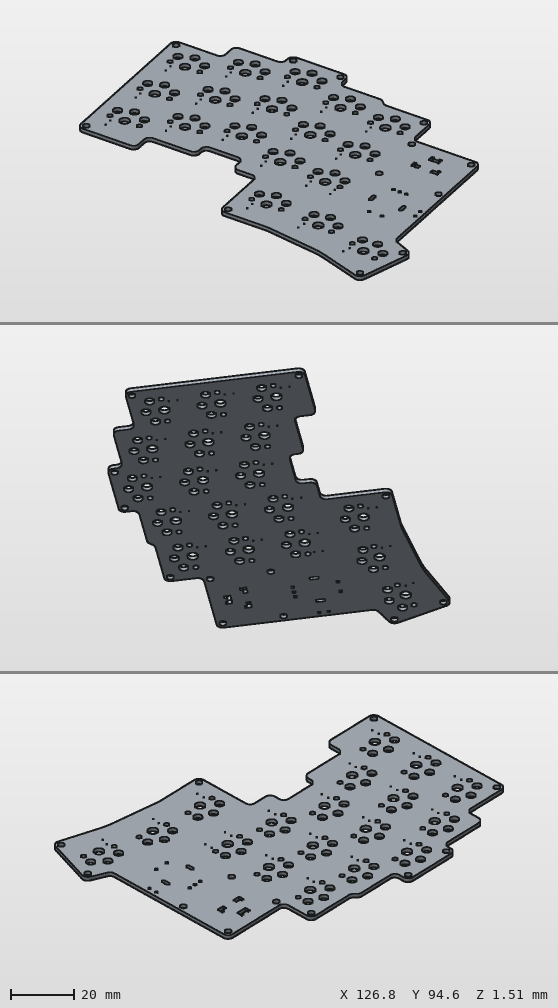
import cadquery as cq
import math

plate_length = 126.82
plate_width = 94.61
plate_thickness = 1.51

edge_margin = 10.8
corner_radius = 2.0
mount_inset = edge_margin - corner_radius

key_pitch = 18.0
row_count = 3
column_drops = [12.25, 5.05, 0.0, 5.95, 8.0]
first_column_x = -plate_length / 2 + edge_margin
highest_key_y = plate_width / 2 - edge_margin
column_x = [first_column_x + i * key_pitch for i in range(len(column_drops))]
column_top_y = [highest_key_y - drop for drop in column_drops]
column_bottom_y = [y - (row_count - 1) * key_pitch for y in column_top_y]

inner_thumb = (10.4, -28.1)
middle_thumb = (30.55, -29.5)
middle_thumb_turn = 8.7
outer_thumb_turn = 18.0
turn_cos = math.cos(math.radians(outer_thumb_turn))
turn_sin = math.sin(math.radians(outer_thumb_turn))
outer_corner_reach = mount_inset * (turn_cos + turn_sin) + corner_radius
outer_thumb = (plate_length / 2 - outer_corner_reach, -plate_width / 2 + outer_corner_reach)

key_post_diameter = 3.43
key_side_diameter = 1.7
key_side_offset = 5.5
key_pin_diameter = 3.0
key_pins = [(0, 5.9), (-5.0, 3.8), (5.0, 3.8)]
via_diameter = 0.3
via_x = -4.0
extra_via_x = 5.0
via_y = [-2.2, -4.95]

panel_top_y = 27.2
panel_right_x = 55.6
mount_diameter = 2.2
panel_mount_x = [31.35, 53.45]
panel_mount_y = [25.1, 5.6]

encoder_center = (42.45, -7.3)
encoder_pin_diameter = 1.0
encoder_pin_pitch = 2.4
encoder_upper_pin_y = 7.5
encoder_lower_pin_y = -7.05
encoder_slot_offset = 5.58
encoder_slot_length = 3.0
encoder_slot_width = 1.2

header_pin_diameter = 0.9
header_pins = [(53.8, -5.85), (53.8, -8.85)]

cutout_bar_height = 1.3
cutout_tab_width = 0.9
cutout_tab_height = 0.75
wide_bar_length = 3.75
wide_bar_y = 21.0
short_bar_length = 2.6
short_bar_y = 15.35
short_bar_offset = 3.6

thumb_top_y = -16.4
thumb_shoulder_slope = 24.0
middle_edge_slope = 7.8
thumb_bottom_y = inner_thumb[1] - edge_margin
first_bend_x = 17.5
second_bend_radius = 26.0


def outer_thumb_point(across, along):
    """Point given in the turned axes of the outer thumb key."""
    x = outer_thumb[0] + across * turn_cos + along * turn_sin
    y = outer_thumb[1] - across * turn_sin + along * turn_cos
    return (x, y)


def left_of(column):
    return column_x[column] - edge_margin


def right_of(column):
    return column_x[column] + edge_margin


def above(column):
    return column_top_y[column] + edge_margin


def below(column):
    return column_bottom_y[column] - edge_margin


def second_bend():
    """Where the edge below the middle thumb key meets the edge below the outer one."""
    middle_fall = math.tan(math.radians(middle_edge_slope))
    outer_fall = turn_sin / turn_cos
    lower_corner = outer_thumb_point(edge_margin, -edge_margin)
    rise = lower_corner[1] + lower_corner[0] * outer_fall - thumb_bottom_y - first_bend_x * middle_fall
    x = rise / (outer_fall - middle_fall)
    return (x, thumb_bottom_y - (x - first_bend_x) * middle_fall)


def outline_points():
    """Sharp corners of the plate, clockwise from the lower left."""
    thumb_left = inner_thumb[0] - edge_margin
    shallow_step = above(3) - above(4)
    shoulder_turn = 90 - (thumb_shoulder_slope - outer_thumb_turn)
    shoulder_tangent = corner_radius * math.tan(math.radians(shoulder_turn / 2))
    upper_corner = outer_thumb_point(edge_margin, mount_inset + shoulder_tangent)
    lower_corner = outer_thumb_point(edge_margin, -edge_margin)
    shoulder_fall = math.tan(math.radians(thumb_shoulder_slope))
    panel_bottom_y = upper_corner[1] + (upper_corner[0] - panel_right_x) * shoulder_fall
    return [
        (left_of(0), below(0)),
        (left_of(0), above(0)),
        (left_of(1), above(0)),
        (left_of(1), above(1)),
        (left_of(2), above(1)),
        (left_of(2), above(2)),
        (right_of(2), above(2)),
        (right_of(2), above(3)),
        (right_of(3) - shallow_step, above(3)),
        (right_of(3), above(4)),
        (right_of(4), above(4)),
        (right_of(4), panel_top_y),
        (panel_right_x, panel_top_y),
        (panel_right_x, panel_bottom_y),
        upper_corner,
        lower_corner,
        second_bend(),
        (first_bend_x, thumb_bottom_y),
        (thumb_left, thumb_bottom_y),
        (thumb_left, thumb_top_y),
        (left_of(3), thumb_top_y),
        (left_of(3), below(2)),
        (right_of(1), below(2)),
        (right_of(1), below(1)),
        (right_of(0), below(1)),
        (right_of(0), below(0)),
    ]


def make_plate():
    blank = cq.Workplane("XY").polyline(outline_points()).close().extrude(plate_thickness)
    bend_edge = cq.selectors.NearestToPointSelector((*second_bend(), plate_thickness / 2))
    corners = blank.edges("|Z").edges(cq.selectors.InverseSelector(bend_edge))
    return corners.fillet(corner_radius).edges(bend_edge).fillet(second_bend_radius)


def round_cutters(points, diameter):
    return cq.Workplane("XY").pushPoints(points).circle(diameter / 2).extrude(plate_thickness)


def bar_cutter(center, length, height):
    return cq.Workplane("XY").center(*center).rect(length, height).extrude(plate_thickness)


def key_cutters(center, turn=0.0, via_columns=(via_x,)):
    """All holes of one key, turned clockwise by `turn` degrees."""
    sides = [(-key_side_offset, 0), (key_side_offset, 0)]
    vias = [(x, y) for x in via_columns for y in via_y]
    cutters = round_cutters([(0, 0)], key_post_diameter)
    cutters = cutters.add(round_cutters(sides, key_side_diameter))
    cutters = cutters.add(round_cutters(key_pins, key_pin_diameter))
    cutters = cutters.add(round_cutters(vias, via_diameter))
    return cutters.rotate((0, 0, 0), (0, 0, 1), -turn).translate((center[0], center[1], 0))


def all_key_cutters():
    cutters = cq.Workplane("XY")
    last_key = (len(column_x) - 1, row_count - 1)
    for column, x in enumerate(column_x):
        for row in range(row_count):
            center = (x, column_top_y[column] - row * key_pitch)
            via_columns = (via_x, extra_via_x) if (column, row) == last_key else (via_x,)
            cutters = cutters.add(key_cutters(center, via_columns=via_columns))
    cutters = cutters.add(key_cutters(inner_thumb))
    cutters = cutters.add(key_cutters(middle_thumb, middle_thumb_turn))
    return cutters.add(key_cutters(outer_thumb, outer_thumb_turn))


def mount_cutters():
    points = [
        (column_x[0] - mount_inset, column_top_y[0] + mount_inset),
        (column_x[0] - mount_inset, column_bottom_y[0] - mount_inset),
        (column_x[2] - mount_inset, column_top_y[2] + mount_inset),
        (column_x[2] + mount_inset, column_top_y[2] + mount_inset),
        (column_x[4] + mount_inset, column_top_y[4] + mount_inset),
        (inner_thumb[0] - mount_inset, inner_thumb[1] - mount_inset),
        outer_thumb_point(mount_inset, mount_inset),
        outer_thumb_point(mount_inset, -mount_inset),
    ]
    points += [(x, y) for x in panel_mount_x for y in panel_mount_y]
    return round_cutters(points, mount_diameter)


def encoder_cutters():
    x, y = encoder_center
    pins = [(x + i * encoder_pin_pitch, y + encoder_upper_pin_y) for i in (-1, 0, 1)]
    pins += [(x + i * encoder_pin_pitch, y + encoder_lower_pin_y) for i in (-1, 1)]
    slots = (
        cq.Workplane("XY")
        .pushPoints([(x - encoder_slot_offset, y), (x + encoder_slot_offset, y)])
        .slot2D(encoder_slot_length, encoder_slot_width, 90)
        .extrude(plate_thickness)
    )
    return round_cutters(pins, encoder_pin_diameter).add(slots)


def notched_cutter(center, length, tab_sides):
    """Bar with an upward tab at its left (-1) and/or right (1) end."""
    cutter = bar_cutter(center, length, cutout_bar_height)
    tab_length = cutout_tab_height + cutout_bar_height / 2
    for side in tab_sides:
        tab_x = center[0] + side * (length - cutout_tab_width) / 2
        tab = bar_cutter((tab_x, center[1] + tab_length / 2), cutout_tab_width, tab_length)
        cutter = cutter.union(tab)
    return cutter


def notched_cutters():
    axis_x = encoder_center[0]
    cutters = notched_cutter((axis_x, wide_bar_y), wide_bar_length, (-1, 1))
    for side in (-1, 1):
        center = (axis_x + side * short_bar_offset, short_bar_y)
        cutters = cutters.add(notched_cutter(center, short_bar_length, (side,)))
    return cutters


def cut_all(body, cutters):
    """Cut every solid held by `cutters` out of `body` in one operation."""
    solids = [solid for shape in cutters.vals() for solid in shape.Solids()]
    return body.cut(cq.Workplane("XY").add(cq.Compound.makeCompound(solids)))


result = make_plate()
result = cut_all(result, all_key_cutters())
result = cut_all(result, mount_cutters())
result = cut_all(result, encoder_cutters())
result = cut_all(result, round_cutters(header_pins, header_pin_diameter))
result = cut_all(result, notched_cutters())